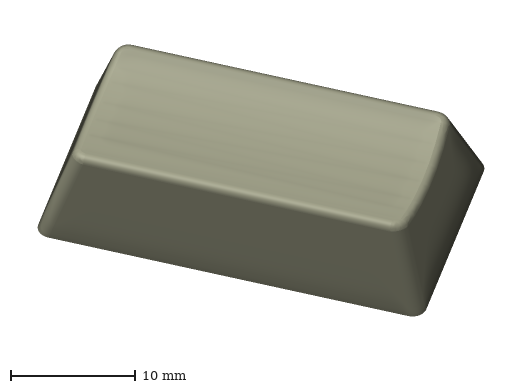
import cadquery as cq

base_length = 32.59
base_width = 18.3
wall_taper = 18.0
corner_radius = 1.25

dish_radius = 23.0
dish_floor_height = 6.555
rim_radius = 0.7

blank_height = 9.0


def tapered_body():
    """Rectangular frustum with rounded sloping corner edges."""
    body = cq.Workplane("XY").rect(base_length, base_width).extrude(blank_height, taper=wall_taper)
    return body.edges("not(#Z)").fillet(corner_radius)


def dish_cutter():
    """Cylinder along X whose lower side forms the concave top."""
    return (
        cq.Workplane("YZ")
        .center(0, dish_floor_height + dish_radius)
        .circle(dish_radius)
        .extrude(base_length / 2, both=True)
    )


def round_rim(body):
    """Fillet the closed edge loop where the walls meet the dish."""
    return body.faces(">Z").edges().fillet(rim_radius)


result = round_rim(tapered_body().cut(dish_cutter()))